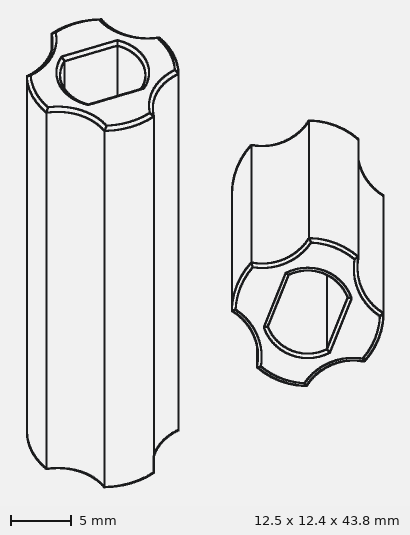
import cadquery as cq
import math

length = 43.75
outer_diameter = 12.45

flute_count = 4
flute_radius = 4.5
flute_floor = 4.85
flute_center = flute_floor + flute_radius
first_flute_angle = 180 / flute_count

bore_diameter = 7.0
bore_across_flats = 5.2

end_chamfer = 0.3


def make_fluted_bar():
    bar = cq.Workplane("XY").circle(outer_diameter / 2).extrude(length)
    flutes = (
        cq.Workplane("XY")
        .polarArray(flute_center, first_flute_angle, 360, flute_count)
        .circle(flute_radius)
        .extrude(length)
    )
    return bar.cut(flutes)


def make_bore():
    radius = bore_diameter / 2
    flat_x = bore_across_flats / 2
    flat_half_width = math.sqrt(radius**2 - flat_x**2)
    return (
        cq.Workplane("XY")
        .moveTo(flat_x, -flat_half_width)
        .lineTo(flat_x, flat_half_width)
        .threePointArc((0, radius), (-flat_x, flat_half_width))
        .lineTo(-flat_x, -flat_half_width)
        .threePointArc((0, -radius), (flat_x, -flat_half_width))
        .close()
        .extrude(length)
    )


sleeve = make_fluted_bar().cut(make_bore())
result = sleeve.faces("<Z or >Z").edges().chamfer(end_chamfer)